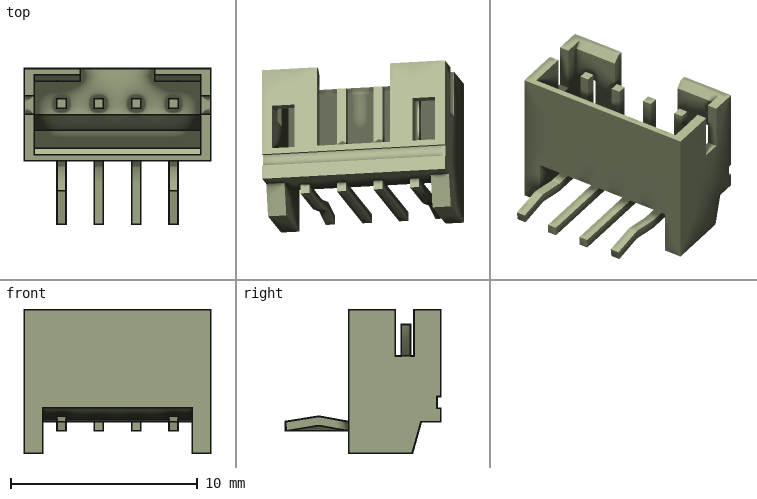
import cadquery as cq

width = 10.0
depth = 4.95
height = 7.7
base_z = 1.68

foot_width = 1.0
foot_toe_y = 3.42
foot_root_y = 3.89

relief_front_z = 2.43
relief_step_y = 2.26
relief_step_z = 1.8

side_wall = 0.54
front_wall = 0.68
back_wall = 0.68
rim_chamfer = 0.34
floor_z = 3.35
floor_front_y = 2.48
floor_drop = 0.83

back_gap_width = 4.0
window_inner_x = 3.24
window_top_z = 5.7
slot_front_y = 2.51
slot_back_y = 3.5
slot_bottom_z = 5.22
groove_depth = 0.2
groove_bottom_z = 2.42
groove_top_z = 3.04

pin_count = 4
pin_pitch = 2.0
pin_size = 0.5
pin_back_y = 3.32
pin_top_z = 6.9
lead_bottom_z = 1.2
lead_length = 3.4
kink_y = -1.59
kink_rise = 0.29
tip_setback = 0.08

inner_half_width = width / 2 - side_wall
cavity_back_y = depth - back_wall


def extrude_along_x(points, x_start, x_end):
    """Prism with a (y, z) outline, running from x_start to x_end."""
    profile = cq.Workplane("YZ", origin=(x_start, 0, 0)).polyline(points).close()
    return profile.extrude(x_end - x_start)


def block(x_range, y_range, z_range):
    """Axis-aligned box between the given limits."""
    size = [end - start for start, end in (x_range, y_range, z_range)]
    corner = (x_range[0], y_range[0], z_range[0])
    return cq.Workplane("XY").box(*size, centered=False).translate(corner)


def housing_blank():
    """Side outline of the housing, including the feet, over the full width."""
    outline = [
        (0, 0),
        (foot_toe_y, 0),
        (foot_root_y, base_z),
        (depth, base_z),
        (depth, height),
        (0, height),
    ]
    return extrude_along_x(outline, -width / 2, width / 2)


def underside_relief():
    """Space between the feet, with a sloping roof and a small step."""
    outline = [
        (0, 0),
        (depth, 0),
        (depth, base_z),
        (relief_step_y, base_z),
        (relief_step_y, relief_step_z),
        (0, relief_front_z),
    ]
    half_gap = width / 2 - foot_width
    return extrude_along_x(outline, -half_gap, half_gap)


def mating_cavity():
    """Open-topped cavity with a front trough and chamfered front and back rims."""
    trough_z = floor_z - floor_drop
    outline = [
        (front_wall, trough_z),
        (floor_front_y - floor_drop, trough_z),
        (floor_front_y, floor_z),
        (cavity_back_y, floor_z),
        (cavity_back_y, height - rim_chamfer),
        (cavity_back_y + rim_chamfer, height),
        (front_wall - rim_chamfer, height),
        (front_wall, height - rim_chamfer),
    ]
    return extrude_along_x(outline, -inner_half_width, inner_half_width)


def wall_openings():
    """Back gap, two back windows, side slots and the groove across the back."""
    back_wall_y = (cavity_back_y, depth)
    half_gap = back_gap_width / 2
    full_width = (-width / 2, width / 2)
    window_z = (floor_z, window_top_z)
    openings = block((-half_gap, half_gap), back_wall_y, (floor_z, height))
    for x_range in (
        (-inner_half_width, -window_inner_x),
        (window_inner_x, inner_half_width),
    ):
        openings = openings.union(block(x_range, back_wall_y, window_z))
    slots = block(full_width, (slot_front_y, slot_back_y), (slot_bottom_z, height))
    groove = block(full_width, (depth - groove_depth, depth), (groove_bottom_z, groove_top_z))
    return openings.union(slots).union(groove)


def pin(x_center, kinked):
    """Angled pin: a vertical contact and a lead leaving through the front."""
    lead_top_z = lead_bottom_z + pin_size
    contact_front_y = pin_back_y - pin_size
    outline = [
        (contact_front_y, pin_top_z),
        (pin_back_y, pin_top_z),
        (pin_back_y, lead_bottom_z),
    ]
    if kinked:
        outline += [
            (0, lead_bottom_z),
            (kink_y, lead_bottom_z + kink_rise),
            (tip_setback - lead_length, lead_bottom_z),
            (-lead_length, lead_top_z),
            (kink_y, lead_top_z + kink_rise),
            (0, lead_top_z),
        ]
    else:
        outline += [(-lead_length, lead_bottom_z), (-lead_length, lead_top_z)]
    outline.append((contact_front_y, lead_top_z))
    return extrude_along_x(outline, x_center - pin_size / 2, x_center + pin_size / 2)


housing = housing_blank().cut(underside_relief()).cut(mating_cavity()).cut(wall_openings())

result = housing
for index in range(pin_count):
    pin_x = (index - (pin_count - 1) / 2) * pin_pitch
    is_outer = index in (0, pin_count - 1)
    result = result.union(pin(pin_x, is_outer))